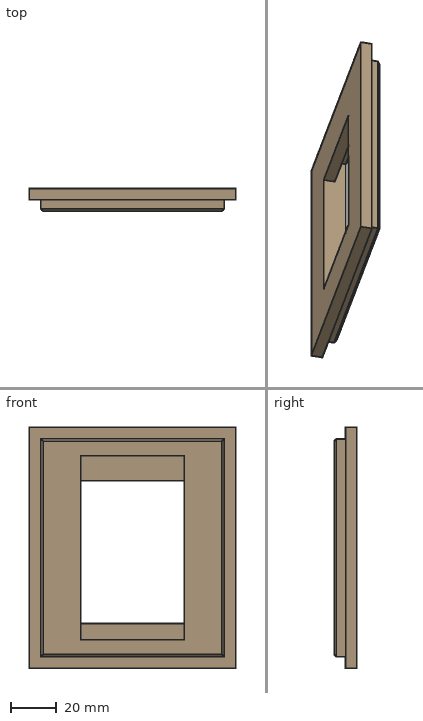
import cadquery as cq

plate_width = 90.0
plate_height = 105.0
total_depth = 10.0
plate_depth = total_depth / 2
panel_margin = 5.0
panel_width = plate_width - 2 * panel_margin
panel_height = plate_height - 2 * panel_margin
panel_chamfer = 1.0

window_width = 44.8
window_height = 80.0
upper_ledge_height = 10.9
lower_ledge_height = 7.1
ledge_depth = plate_depth

back_y = total_depth / 2
front_y = -total_depth / 2


def centered_block(width, height, y_start, depth):
    """Block centred in X and Z, reaching from y_start toward +Y."""
    block = cq.Workplane("XY").box(width, depth, height)
    return block.translate((0, y_start + depth / 2, 0))


def ledge(height, side):
    """Ledge at the top (side = 1) or bottom (side = -1) of the window."""
    block = centered_block(window_width, height, back_y - ledge_depth, ledge_depth)
    return block.translate((0, 0, side * (window_height - height) / 2))


plate = centered_block(plate_width, plate_height, back_y - plate_depth, plate_depth)
panel = centered_block(panel_width, panel_height, front_y, total_depth - plate_depth)
panel = panel.faces("<Y").chamfer(panel_chamfer)
window = centered_block(window_width, window_height, front_y, total_depth)

result = plate.union(panel).cut(window)
result = result.union(ledge(upper_ledge_height, 1)).union(ledge(lower_ledge_height, -1))